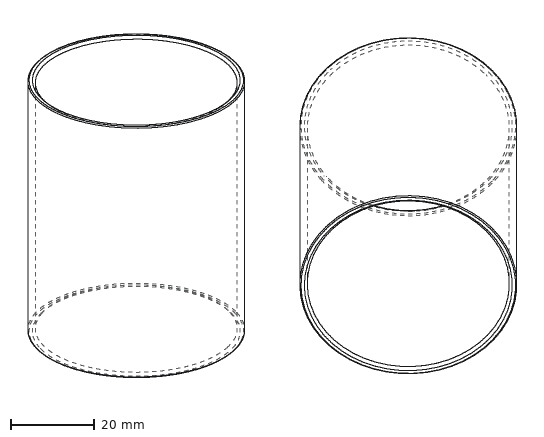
import cadquery as cq

outer_diameter = 52.0
bore_diameter = 48.4
length = 66.7
outer_chamfer = 0.3
inner_chamfer = 0.7

outer_radius = outer_diameter / 2
bore_radius = bore_diameter / 2


def make_body():
    """Solid cylinder standing on Z = 0, chamfered around both end rims."""
    body = cq.Workplane("XY").circle(outer_radius).extrude(length)
    return body.edges("%CIRCLE").chamfer(outer_chamfer)


def cut_bore(body):
    """Open the cylinder right through and bevel the bore at both ends."""
    tube = body.cut(cq.Workplane("XY").circle(bore_radius).extrude(length))
    bore_edges = cq.selectors.RadiusNthSelector(0)
    return tube.edges(bore_edges).chamfer(inner_chamfer)


result = cut_bore(make_body())